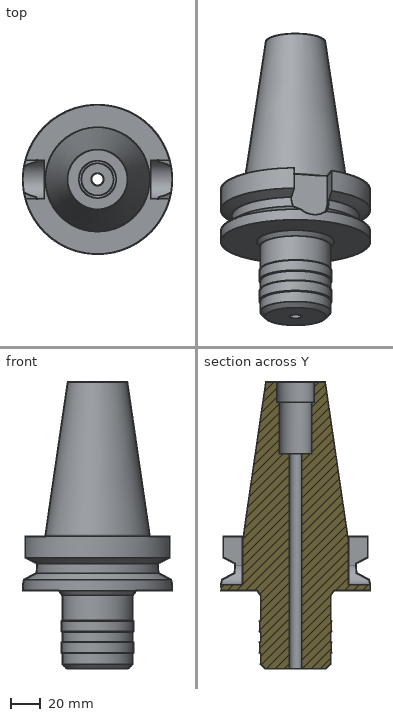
import cadquery as cq

total_height = 191.8
gauge_height = 89.5
flange_top = 88.6
flange_bottom = 52.4

taper_base_radius = 35.0
taper_ratio = 7 / 24
taper_top_radius = taper_base_radius - (total_height - gauge_height) * taper_ratio / 2

flange_radius = 50.0
groove_radius = 42.5
groove_upper_edge = 74.5
groove_floor_top = 70.4
groove_floor_bottom = 64.0
groove_lower_edge = 59.6

nose_radius = 23.5
neck_height = 3.3
neck_flare = 2.3
nose_chamfer = 3.3

band_radius = 24.2
band_height = 7.9
band_chamfer = 0.48
band_bottoms = (10.4, 24.5)

slot_width = 25.9
slot_floor_distance = 35.5
slot_bottom = 56.4

counterbore_radius = 12.5
counterbore_depth = 13.5
thread_bore_radius = 10.7
thread_bore_depth = 48.0
through_hole_radius = 4.0


def make_body():
    """Revolve the half profile of taper, flange and nose about Z."""
    profile = [
        (0, 0),
        (nose_radius - nose_chamfer, 0),
        (nose_radius, nose_chamfer),
        (nose_radius, flange_bottom - neck_height),
        (nose_radius + neck_flare, flange_bottom),
        (flange_radius, flange_bottom),
        (flange_radius, groove_lower_edge),
        (groove_radius, groove_floor_bottom),
        (groove_radius, groove_floor_top),
        (flange_radius, groove_upper_edge),
        (flange_radius, flange_top),
        (taper_base_radius, flange_top),
        (taper_base_radius, gauge_height),
        (taper_top_radius, total_height),
        (0, total_height),
    ]
    return cq.Workplane("XZ").polyline(profile).close().revolve(360, (0, 0), (0, 1))


def make_band(bottom):
    """Disc with chamfered edges whose rim stands proud of the nose."""
    disc = cq.Workplane("XY").workplane(offset=bottom).circle(band_radius).extrude(band_height)
    return disc.edges().chamfer(band_chamfer)


def make_drive_slot():
    """Round-bottomed slot cutter for the +X side, open at the flange top."""
    half_width = slot_width / 2
    arc_center = slot_bottom + half_width
    return (
        cq.Workplane("YZ")
        .workplane(offset=slot_floor_distance)
        .moveTo(-half_width, flange_top)
        .lineTo(-half_width, arc_center)
        .threePointArc((0, slot_bottom), (half_width, arc_center))
        .lineTo(half_width, flange_top)
        .close()
        .extrude(flange_radius)
    )


def make_bore(radius, depth):
    """Axial bore cutter reaching down from the small end of the taper."""
    return cq.Workplane("XY").workplane(offset=total_height - depth).circle(radius).extrude(depth)


result = make_body()

for band_bottom in band_bottoms:
    result = result.union(make_band(band_bottom))

for slot_angle in (0, 180):
    result = result.cut(make_drive_slot().rotate((0, 0, 0), (0, 0, 1), slot_angle))

result = result.cut(make_bore(counterbore_radius, counterbore_depth))
result = result.cut(make_bore(thread_bore_radius, thread_bore_depth))
result = result.cut(make_bore(through_hole_radius, total_height))